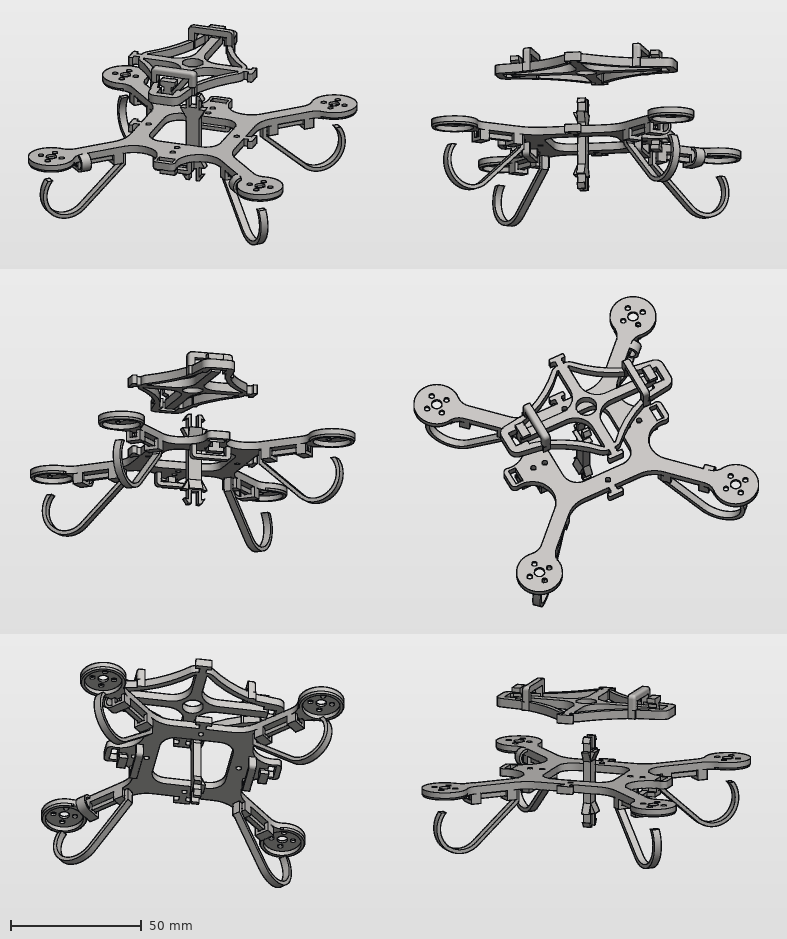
import cadquery as cq
import math

ROOT_2 = math.sqrt(2)
DIAGONALS = (45, 135, 225, 315)

frame_thickness = 3.0
side_x = 21.2
window_size = 28.4
window_corner_radius = 6.0
side_blend_radius = 12.0
arm_half_width = 3.0
screw_hole_diameter = 2.0
side_hole_offset = 17.9
end_hole_offset = 22.8

overall_size = 102.2
pad_radius = 8.8
pad_distance = (overall_size / 2 - pad_radius) * ROOT_2
pad_blend_radius = 6.0
pad_chamfer_width = 0.4
pad_chamfer_height = 0.8
shaft_hole_diameter = 4.0
pad_hole_offset = 4.2
pad_web = 1.0
pad_recess_radius = 7.3

frame_ear_tip_y = 33.9
frame_ear_tip_half = 2.6
frame_ear_shoulder_y = 32.0
ear_bay_radius = 9.0
ear_bay_y = 21.2

slot_width = 6.3
slot_end_y = 31.9
slot_length = 3.0

hook_tip_x = 25.1
hook_bar_thickness = 1.7
hook_bar_length = 6.2
hook_neck_width = 2.7
hook_fillet = 0.5
hook_root_overlap = 1.0

knob_front_y = 29.0
knob_depth = 3.3
knob_height = 3.8
knob_head_half = 3.1
knob_neck_half = 1.4
knob_rim_z = 2.0
top_knob_throat_z = 1.2

prong_drop = 4.0
prong_length = 4.0
inner_prong_start = 30.8
outer_prong_start = 45.9
socket_size = 3.0
socket_depth = 2.6

clip_outer_radius = (frame_thickness + prong_drop) / 2
clip_wall = 1.0

frame_loop_width = 15.5
frame_loop_inner_width = 11.9
frame_loop_drop = 5.2
frame_loop_inner_drop = 3.7
frame_loop_inner_y = 20.6
frame_loop_outer_y = 23.3
frame_loop_corner_radius = 1.5

top_z = 27.6
top_thickness = 3.4
long_bar_half = 1.8
cross_bar_half = 2.0
hub_blend_radius = 7.6
hub_hole_diameter = 8.0
opening_end_y = 27.0
opening_end_x = 4.7
opening_tip_x = 19.1
opening_tip_y = 2.6
strut_outer_end = (20.1, 4.2)
strut_outer_middle = (14.1, 11.0)
strut_inner_middle = (10.9, 11.9)
top_ear_tip_y = 34.9
top_ear_tip_x = 6.0
top_ear_root_x = 7.8
top_ear_corner_radius = 3.4
top_loop_inner_y = 20.0
top_loop_outer_y = 23.0
top_loop_width = 17.8
top_loop_inner_width = 12.9
top_loop_height = 5.8
top_loop_inner_height = 3.3
top_loop_corner_radius = 1.5
top_loop_edge_radius = 1.0

key_middle_z = -0.2
key_half_length = 17.6
key_back_y = 2.8
key_thickness = 3.0
key_wedge_depth = 1.7
key_body_half = 2.7
key_shoulder_half = 4.9
key_shoulder_z = 12.1
key_flare_z = 8.2
key_barb_half = 4.0
key_barb_z = 15.5
key_barb_root_z = 16.0
key_slot_half = 1.4
key_slot_z = 12.7

leg_width = 3.0
leg_plate_thickness = 1.6
leg_plate_bottom_z = -5.3
leg_strap_thickness = 1.5
leg_arc_radius = 10.5
leg_arc_distance = 53.4
leg_bottom_z = -23.2
leg_tip_z = -6.5
peg_size = 1.8
peg_chamfer = 0.4
peg_recess = 0.6


def block(x0, x1, y0, y1, z0, z1):
    """Box between the given limits."""
    return cq.Workplane("XY").box(x1 - x0, y1 - y0, z1 - z0, centered=False).translate((x0, y0, z0))


def four_way(quadrant):
    """Quadrant shape joined with its mirror images in X and Y."""
    half = quadrant.union(quadrant.mirror("YZ"))
    return half.union(half.mirror("XZ"))


def both_ends(shape):
    """Shape joined with its mirror image at the other end of Y."""
    return shape.union(shape.mirror("XZ"))


def on_arm(along, across):
    """Point of the +X +Y arm from its distances along and across the diagonal."""
    return ((along - across) / ROOT_2, (along + across) / ROOT_2)


def toward(start, end, distance):
    """Point at the given distance from start on the way to end."""
    share = distance / math.dist(start, end)
    return (start[0] + share * (end[0] - start[0]), start[1] + share * (end[1] - start[1]))


def hook(thickness):
    """T hook on the +X side."""
    bar_x = hook_tip_x - hook_bar_thickness
    neck = block(side_x - hook_root_overlap, bar_x + hook_bar_thickness / 2,
                 -hook_neck_width / 2, hook_neck_width / 2, 0, thickness)
    bar = block(bar_x, hook_tip_x, -hook_bar_length / 2, hook_bar_length / 2, 0, thickness)
    bar = bar.edges("|Z and >X").fillet(hook_fillet)
    inner_corners = cq.selectors.BoxSelector(
        (bar_x - hook_fillet, -hook_neck_width, 0), (bar_x + hook_fillet, hook_neck_width, thickness))
    return neck.union(bar).edges("|Z").edges(inner_corners).fillet(hook_fillet)


def knob(throat_z):
    """T-shaped strap knob standing on Z = 0 at the +Y end, its head meeting its neck at throat_z."""
    right = [
        (knob_neck_half, 0),
        (knob_neck_half, throat_z),
        (knob_head_half, knob_rim_z),
        (knob_head_half, knob_height),
    ]
    left = [(-x, z) for x, z in reversed(right)]
    profile = cq.Workplane("XZ", origin=(0, knob_front_y, 0)).polyline(right + left).close()
    return profile.extrude(knob_depth)


def frame_plate():
    """Plate with four arms, motor pads and two ears."""
    pad_reach = pad_radius + pad_blend_radius
    blend_offset = arm_half_width + pad_blend_radius
    pad_blend_start = pad_distance - math.sqrt(pad_reach**2 - blend_offset**2)
    touch_share = pad_radius / pad_reach
    touch_along = pad_distance - touch_share * (pad_distance - pad_blend_start)
    touch_across = touch_share * blend_offset

    side_corner = (side_x, side_x - arm_half_width * ROOT_2)
    setback = side_blend_radius * math.tan(math.radians(22.5))
    side_blend_end = (side_corner[0] + setback / ROOT_2, side_corner[1] + setback / ROOT_2)

    bay_y = ear_bay_y + ear_bay_radius
    bay_x = bay_y - ROOT_2 * (ear_bay_radius + arm_half_width)
    bay_start = on_arm((bay_x + bay_y) / ROOT_2, arm_half_width)
    shoulder_rise = frame_ear_shoulder_y - bay_y
    shoulder_x = bay_x - math.sqrt(ear_bay_radius**2 - shoulder_rise**2)
    tip_rise = frame_ear_tip_y - frame_ear_shoulder_y
    corner_x = frame_ear_tip_half + tip_rise / ROOT_2
    corner_y = frame_ear_shoulder_y + tip_rise / ROOT_2

    quadrant = (
        cq.Workplane("XY")
        .lineTo(side_x, 0)
        .lineTo(side_x, side_corner[1] - setback)
        .tangentArcPoint(side_blend_end, relative=False)
        .lineTo(*on_arm(pad_blend_start, -arm_half_width))
        .tangentArcPoint(on_arm(touch_along, -touch_across), relative=False)
        .threePointArc(on_arm(pad_distance + pad_radius, 0), on_arm(touch_along, touch_across))
        .tangentArcPoint(on_arm(pad_blend_start, arm_half_width), relative=False)
        .lineTo(*bay_start)
        .threePointArc((bay_x, ear_bay_y), (shoulder_x, frame_ear_shoulder_y))
        .threePointArc((corner_x, corner_y), (frame_ear_tip_half, frame_ear_tip_y))
        .lineTo(0, frame_ear_tip_y)
        .close()
        .extrude(frame_thickness)
    )
    return four_way(quadrant)


def pad_edge_cut():
    """Ring that bevels the lower edge of a motor pad on the +X axis, outside the arm."""
    ring = (
        cq.Workplane("XZ")
        .polyline([(pad_radius - pad_chamfer_width, 0), (pad_radius, 0),
                   (pad_radius, pad_chamfer_height)])
        .close()
        .revolve(360, (0, 0, 0), (0, 1, 0))
        .translate((pad_distance, 0, 0))
    )
    arm_zone = block(0, pad_distance, -pad_radius / 2, pad_radius / 2, 0, pad_chamfer_height)
    return ring.cut(arm_zone)


def pad_cuts():
    """Shaft hole, four screw holes and underside recess of a motor pad at the +X +Y corner."""
    centre = pad_distance / ROOT_2
    pad = cq.Workplane("XY", origin=(centre, centre, 0))
    shaft = pad.circle(shaft_hole_diameter / 2).extrude(frame_thickness)
    screws = pad.polarArray(pad_hole_offset, 0, 360, 4).circle(screw_hole_diameter / 2)
    screws = screws.extrude(frame_thickness)
    recess = pad.circle(pad_recess_radius).extrude(frame_thickness - pad_web)
    return shaft.union(screws).union(recess)


def socket_prongs():
    """Two prongs below an arm lying on the +X axis, bored for the leg peg."""
    prongs = cq.Workplane("XY")
    for start in (inner_prong_start, outer_prong_start):
        prongs = prongs.add(block(start, start + prong_length,
                                  -arm_half_width, arm_half_width, -prong_drop, 0))
    bore = block(inner_prong_start, outer_prong_start + prong_length,
                 -socket_size / 2, socket_size / 2, -socket_depth, 0)
    return prongs.combine().cut(bore)


def wire_clip():
    """Half-round clip on the +Y flank of an arm lying on the +X axis."""
    middle_z = (frame_thickness - prong_drop) / 2
    ring = (
        cq.Workplane("YZ", origin=(outer_prong_start, arm_half_width, middle_z))
        .circle(clip_outer_radius)
        .circle(clip_outer_radius - clip_wall)
        .extrude(prong_length)
    )
    flank = block(outer_prong_start, outer_prong_start + prong_length,
                  arm_half_width, arm_half_width + clip_outer_radius, -prong_drop, frame_thickness)
    return ring.intersect(flank)


def frame_loop():
    """Strap loop hanging below the +Y end of the frame."""
    outer = block(-frame_loop_width / 2, frame_loop_width / 2,
                  frame_loop_inner_y, frame_loop_outer_y, -frame_loop_drop, 0)
    outer = outer.edges("|Y and <Z").fillet(frame_loop_corner_radius)
    opening = block(-frame_loop_inner_width / 2, frame_loop_inner_width / 2,
                    frame_loop_inner_y, frame_loop_outer_y, -frame_loop_inner_drop, 0)
    return outer.cut(opening)


def make_frame():
    window = (
        cq.Workplane("XY")
        .rect(window_size, window_size)
        .extrude(frame_thickness)
        .edges("|Z")
        .fillet(window_corner_radius)
    )
    ear_slot = block(-slot_width / 2, slot_width / 2,
                     slot_end_y - slot_length, slot_end_y, 0, frame_thickness)
    hole_places = [(x, 0) for x in (-side_hole_offset, side_hole_offset)]
    for y in (side_hole_offset, end_hole_offset):
        hole_places += [(0, -y), (0, y)]
    holes = cq.Workplane("XY").pushPoints(hole_places).circle(screw_hole_diameter / 2)

    frame = frame_plate().cut(window).cut(both_ends(ear_slot)).cut(holes.extrude(frame_thickness))
    frame = frame.cut(four_way(pad_cuts()))
    side_hook = hook(frame_thickness)
    frame = frame.union(side_hook).union(side_hook.mirror("YZ"))
    frame = frame.union(both_ends(frame_loop())).union(both_ends(knob(knob_rim_z).mirror("XY")))
    for angle in DIAGONALS:
        frame = frame.cut(pad_edge_cut().rotate((0, 0, 0), (0, 0, 1), angle))
        frame = frame.union(socket_prongs().rotate((0, 0, 0), (0, 0, 1), angle))
    clip = wire_clip().rotate((0, 0, 0), (0, 0, 1), 225)
    return frame.union(clip).union(clip.mirror("YZ"))


def top_outline():
    """Solid blank of the top plate, without hooks, loops or knobs."""
    post_x = top_loop_width / 2
    ear_root = (top_ear_root_x, top_loop_outer_y)
    ear_corner = (top_ear_tip_x, top_ear_tip_y)
    side_angle = math.atan2(top_ear_tip_y - top_loop_outer_y, top_ear_root_x - top_ear_tip_x)
    setback = top_ear_corner_radius * math.tan(side_angle / 2)
    quadrant = (
        cq.Workplane("XY")
        .lineTo(side_x, 0)
        .lineTo(side_x, hook_neck_width / 2)
        .tangentArcPoint(strut_outer_end, relative=False)
        .threePointArc(strut_outer_middle, (post_x, top_loop_inner_y))
        .lineTo(post_x, top_loop_outer_y)
        .lineTo(*ear_root)
        .lineTo(*toward(ear_corner, ear_root, setback))
        .tangentArcPoint((top_ear_tip_x - setback, top_ear_tip_y), relative=False)
        .lineTo(0, top_ear_tip_y)
        .close()
        .extrude(top_thickness)
    )
    return four_way(quadrant)


def top_opening():
    """Opening between hub, bars and strut in the +X +Y quadrant."""
    return (
        cq.Workplane("XY")
        .moveTo(long_bar_half, opening_end_y)
        .lineTo(long_bar_half, cross_bar_half + hub_blend_radius)
        .tangentArcPoint((long_bar_half + hub_blend_radius, cross_bar_half), relative=False)
        .lineTo(opening_tip_x, cross_bar_half)
        .lineTo(opening_tip_x, opening_tip_y)
        .threePointArc(strut_inner_middle, (opening_end_x, opening_end_y))
        .close()
        .extrude(top_thickness)
    )


def top_loop():
    """Strap loop through the full plate at the +Y end, with a rounded outer rim."""
    loop_top = top_thickness + top_loop_height
    outer = block(-top_loop_width / 2, top_loop_width / 2,
                  top_loop_inner_y, top_loop_outer_y, 0, loop_top)
    outer = outer.edges("|Y and >Z").fillet(top_loop_corner_radius)
    outer = outer.faces(">Y").edges("not <Z").fillet(top_loop_edge_radius)
    opening = block(-top_loop_inner_width / 2, top_loop_inner_width / 2,
                    top_loop_inner_y, top_loop_outer_y, 0, top_thickness + top_loop_inner_height)
    return outer.cut(opening)


def make_top_plate():
    ear_slot = block(-slot_width / 2, slot_width / 2, opening_end_y, slot_end_y, 0, top_thickness)
    bar_end = block(-long_bar_half, long_bar_half,
                    opening_end_y, knob_front_y, 0, top_thickness)
    hub_hole = cq.Workplane("XY").circle(hub_hole_diameter / 2).extrude(top_thickness)
    side_hook = hook(top_thickness)

    plate = top_outline().cut(four_way(top_opening())).cut(hub_hole)
    plate = plate.cut(both_ends(ear_slot.cut(bar_end)))
    plate = plate.union(side_hook).union(side_hook.mirror("YZ"))
    plate = plate.union(both_ends(top_loop()))
    plate = plate.union(both_ends(knob(top_knob_throat_z).translate((0, 0, top_thickness))))
    return plate.translate((0, 0, top_z))


def make_key():
    """Spacer with a barbed fork at each end, alike in both halves."""
    edge = [
        (key_body_half, 0),
        (key_body_half, key_flare_z),
        (key_shoulder_half, key_shoulder_z),
        (key_body_half, key_shoulder_z),
        (key_body_half, key_barb_root_z),
        (key_barb_half, key_barb_z),
        (key_body_half, key_half_length),
        (key_slot_half, key_half_length),
        (key_slot_half, key_slot_z),
        (0, key_slot_z),
        (0, 0),
    ]
    quarter = cq.Workplane("XZ", origin=(0, key_back_y, 0)).polyline(edge).close().extrude(key_thickness)
    half = quarter.union(quarter.mirror("YZ"))
    wedge = (
        cq.Workplane("YZ", origin=(-key_body_half, 0, 0))
        .polyline([(key_back_y, key_flare_z), (key_back_y, key_shoulder_z),
                   (key_back_y + key_wedge_depth, key_shoulder_z)])
        .close()
        .extrude(2 * key_body_half)
    )
    half = half.union(wedge)
    return half.union(half.mirror("XY")).translate((0, 0, key_middle_z))


def leg_strap():
    """Straight strap running into an arc, below an arm lying on the +X axis."""
    centre = (leg_arc_distance, leg_bottom_z + leg_arc_radius)
    inner_radius = leg_arc_radius - leg_strap_thickness
    start = (inner_prong_start - leg_plate_thickness, leg_plate_bottom_z)
    reach = math.dist(start, centre)
    drop_angle = math.atan2(start[1] - centre[1], centre[0] - start[0])
    slope = drop_angle + math.asin(leg_arc_radius / reach)
    normal = (math.sin(slope), math.cos(slope))
    run = math.sqrt(reach**2 - leg_arc_radius**2)

    def at(radius, angle):
        return (centre[0] + radius * math.cos(angle), centre[1] + radius * math.sin(angle))

    def tip(radius):
        rise = leg_tip_z - centre[1]
        return (centre[0] + math.sqrt(radius**2 - rise**2), leg_tip_z)

    touch = (start[0] + run * math.cos(slope), start[1] - run * math.sin(slope))
    inner_touch = (touch[0] + leg_strap_thickness * normal[0], touch[1] + leg_strap_thickness * normal[1])
    inner_start = (start[0] + leg_strap_thickness * normal[0], start[1] + leg_strap_thickness * normal[1])
    middle_angle = -math.pi / 4
    return (
        cq.Workplane("XZ", origin=(0, leg_width / 2, 0))
        .moveTo(*start)
        .lineTo(*touch)
        .threePointArc(at(leg_arc_radius, middle_angle), tip(leg_arc_radius))
        .lineTo(*tip(inner_radius))
        .threePointArc(at(inner_radius, middle_angle), inner_touch)
        .lineTo(*inner_start)
        .close()
        .extrude(leg_width)
    )


def make_leg():
    """Leg below an arm lying on the +X axis: plate, peg through both prongs, and sprung strap."""
    plate_start = inner_prong_start - leg_plate_thickness
    plate = block(plate_start, inner_prong_start,
                  -leg_width / 2, leg_width / 2, leg_plate_bottom_z, 0)
    peg_end = outer_prong_start + prong_length - peg_recess + peg_chamfer
    peg = block(inner_prong_start, peg_end, -peg_size / 2, peg_size / 2,
                -socket_depth, peg_size - socket_depth)
    peg = peg.faces(">X").chamfer(peg_chamfer)
    return plate.union(peg).union(leg_strap())


frame = make_frame()
top_plate = make_top_plate()
key = make_key()
legs = [make_leg().rotate((0, 0, 0), (0, 0, 1), angle) for angle in DIAGONALS]

result = cq.Compound.makeCompound(
    [frame.val(), top_plate.val(), key.val(), *[leg.val() for leg in legs]]
)